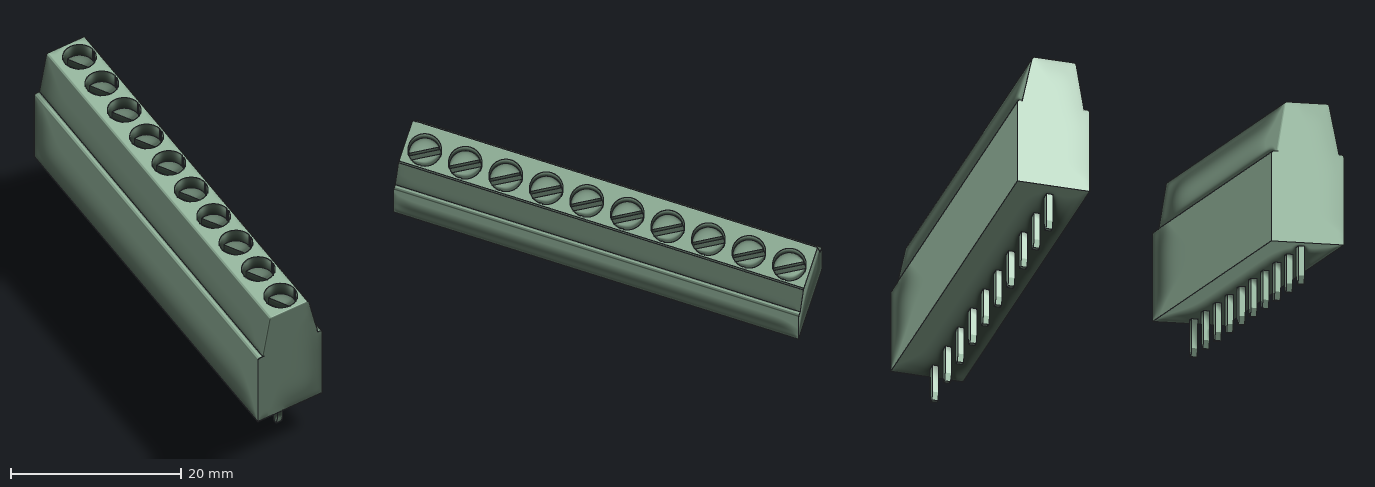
import cadquery as cq
pole_count = 10
pitch = 5.0
housing_length = pole_count * pitch
housing_depth = 8.9
housing_height = 16.8
shoulder_height = 10.8
front_ledge = 0.7
back_ledge = 0.6
front_top_inset = 1.7
back_top_inset = 1.85
shoulder_radius = 0.35
top_front_radius = 0.3
end_radius = 0.15
back_chamfer = 0.15

well_y = 4.7
well_diameter = 3.95
rib_width = 0.3
screw_diameter = 3.8
screw_recess = 1.75
slot_width = 0.85
slot_depth = 1.25
slot_angle = 30.0

pin_y = 4.3
pin_width = 1.0
pin_thickness = 0.75
pin_length = 4.5
pin_tip_width = 0.5
pin_tip_length = 0.95

pole_positions = [(pole + 0.5) * pitch for pole in range(pole_count)]


def make_housing():
    """Stepped bar with tapered upper half; its long outer edges and one top end are softened."""
    profile = [
        (0, 0),
        (housing_depth, 0),
        (housing_depth, shoulder_height),
        (housing_depth - back_ledge, shoulder_height),
        (housing_depth - back_top_inset, housing_height),
        (front_top_inset, housing_height),
        (front_ledge, shoulder_height),
        (0, shoulder_height),
    ]
    bar = cq.Workplane("YZ").polyline(profile).close().extrude(housing_length)
    rounded_edges = [
        (0, shoulder_height, shoulder_radius),
        (housing_depth, shoulder_height, shoulder_radius),
        (front_top_inset, housing_height, top_front_radius),
    ]
    for y, z, radius in rounded_edges:
        long_edge = cq.selectors.NearestToPointSelector((housing_length / 2, y, z))
        bar = bar.edges("|X").edges(long_edge).fillet(radius)
    back_top_edge = cq.selectors.NearestToPointSelector(
        (housing_length / 2, housing_depth - back_top_inset, housing_height)
    )
    bar = bar.edges(back_top_edge).chamfer(back_chamfer)
    end_top_edge = cq.selectors.NearestToPointSelector((housing_length, housing_depth / 2, housing_height))
    return bar.edges(end_top_edge).fillet(end_radius)


def make_screw_well(x):
    """Cutting body: round well that leaves a thin rib at its back and a slotted screw head standing."""
    bottom = housing_height - screw_recess - slot_depth
    plane = cq.Workplane("XY", origin=(x, well_y, bottom))
    well = plane.circle(well_diameter / 2).extrude(screw_recess + slot_depth)
    rib = (
        plane.center(0, (well_diameter + screw_diameter) / 4)
        .rect(rib_width, (well_diameter - screw_diameter) / 2)
        .extrude(screw_recess + slot_depth)
    )
    head = plane.circle(screw_diameter / 2).extrude(slot_depth)
    slot = plane.transformed(rotate=(0, 0, slot_angle)).rect(well_diameter, slot_width).extrude(slot_depth)
    return well.cut(rib).cut(head.cut(slot))


def make_pin(x):
    """Flat pin with a tip tapered in width."""
    outline = [
        (x - pin_width / 2, 0),
        (x + pin_width / 2, 0),
        (x + pin_width / 2, pin_tip_length - pin_length),
        (x + pin_tip_width / 2, -pin_length),
        (x - pin_tip_width / 2, -pin_length),
        (x - pin_width / 2, pin_tip_length - pin_length),
    ]
    plane = cq.Workplane("XZ", origin=(0, pin_y, 0))
    return plane.polyline(outline).close().extrude(pin_thickness / 2, both=True)


result = make_housing()
for pole_x in pole_positions:
    result = result.cut(make_screw_well(pole_x))
    result = result.union(make_pin(pole_x))